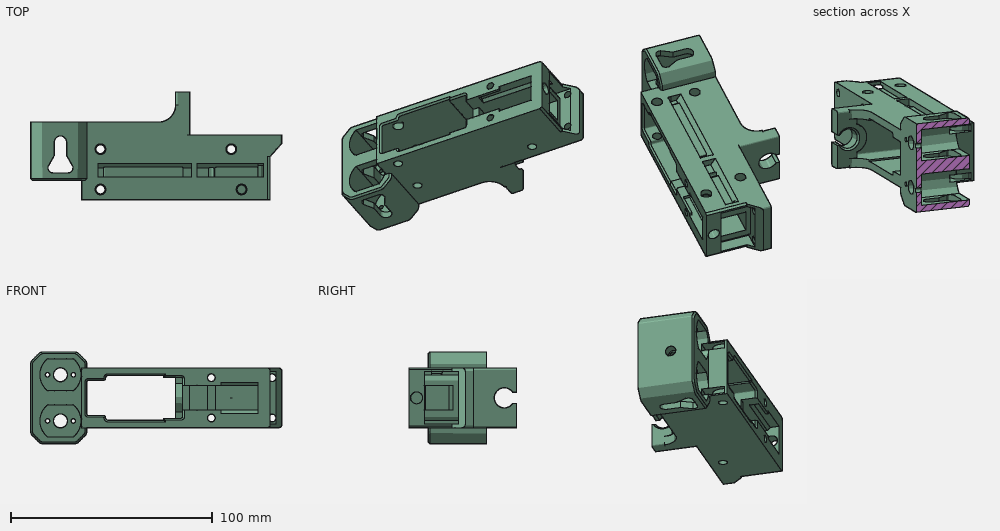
import cadquery as cq
import math


BODY_X0 = 25.3
BODY_X1 = 118.85
BODY_HEIGHT = 29.7
BODY_REAR_Y = 32.2
SHELF_REAR_Y = 38.6
END_CHAMFER_X = 1.2
END_CHAMFER_Z = 0.8
HALF_BODY = BODY_HEIGHT / 2

FLANGE_X1 = 124.75
FLANGE_TIP_Y = 28.0
FLANGE_ROOT_Y = 21.4
FLANGE_CORNER_RADIUS = 1.7

POST_X0 = 71.9
POST_X1 = 79.1
POST_TOP_Y = 53.5
POST_EDGE_RADIUS = 1.2
POST_ARC_RADIUS = 8.3
POST_ARC_X = POST_X0 - POST_ARC_RADIUS
POST_ARC_Y = SHELF_REAR_Y + POST_ARC_RADIUS
BARREL_Y = 47.4
BARREL_RADIUS = 4.95
BARREL_CHAMFER = 0.95
BARREL_GAP = 5.4
BOSS_Y = 45.15
BOSS_RADIUS = 7.45

CAVITY_X0 = 27.9
CAVITY_STEP_X = 37.3
CAVITY_LIP_X = 66.0
CAVITY_X1 = 75.5
CAVITY_NARROW_Z = 8.7
CAVITY_WIDE_Z = 11.0
CAVITY_LIP_Z = 10.15
CAVITY_CORNER_RADIUS = 0.9
CAVITY_STEP_RADIUS = 1.1
CAVITY_MOUTH_CHAMFER = 0.9
POST_RECESS_Y = 43.0

CHANNEL_X1 = 112.8
CHANNEL_HALF_Z = 6.15
CHANNEL_REAR_Y = 22.0
DIVIDER_X1 = 78.8
DIVIDER_Y = 8.2
RIB_X0 = 87.9
RIB_X1 = 91.65
RIB_DEPTH = 2.0
RECESS_X0 = 82.5
RECESS_MOUTH_X = 94.6
RECESS_HALF_Z = 7.65
RECESS_REAR_Y = 6.1
RECESS_LIP = 1.3

END_WALL_THICKNESS = 7.75
HOLLOW_HALF_Z = 13.1
HOLLOW_REAR_Y = 24.6
HOLLOW_SHOULDER_Z = 11.3
HOLLOW_SHOULDER_LENGTH = 2.75
HOLLOW_SHOULDER_RADIUS = 2.7
END_HOLE_RADIUS = 2.95

SLOT_X_RANGES = ((33.5, 79.8), (82.7, 115.5))
SLOT_Y0 = 11.3
SLOT_Y1 = 18.1
SLOT_DEPTH = 3.55
SLOT_LEAN = 2.4
SLOT_PAD_X_RANGES = ((36.1, 75.7), (91.6, CHANNEL_X1))
SLOT_PAD_DEPTH = 2.8
SLOT_PAD_RADIUS = 0.7

SCREW_HEAD_RADIUS = 2.65
SCREW_SHANK_RADIUS = 2.2
SCREW_THROUGH_POINTS = ((34.7, 5.1), (34.7, 25.1), (99.6, 25.1))
SCREW_BLIND_POINT = (104.7, 5.1)
SCREW_BLIND_HEAD_DEPTH = 3.0
SCREW_BLIND_DEPTH = 5.5
MOUTH_HOLE_RADIUS = 1.85
MOUTH_HOLE_X = 89.7
FLANGE_HOLE_X = 119.9
MOUTH_HOLE_Z = 10.0

WIRE_Y0 = 1.5
WIRE_Y1 = 13.2
WIRE_X0 = 24.0
WIRE_BEND_X = 33.0
WIRE_BEND_Y = 4.5
WIRE_BEND_RADIUS = 5.2
WIRE_WIDTH = 3.5
WIRE_Z = 12.35

BLOCK_WIDTH = 28.0
BLOCK_HEIGHT = 45.7
BLOCK_Y0 = 9.6
BLOCK_CORNER = 5.0
BLOCK_CORNER_RADIUS = 3.0
BLOCK_EDGE_CHAMFER = 0.9
POCKET_X = 14.85
POCKET_Z = 11.45
POCKET_RADIUS = 10.2
POCKET_HALF_HEIGHT = 7.9
POCKET_FLOOR = 3.0
PLUNGER_RADIUS = 3.4
SOLENOID_SCREW_RADIUS = 1.05
SOLENOID_SCREW_OFFSET = 6.4
KEYHOLE_SLOT_RADIUS = 3.0
KEYHOLE_SLOT_Y = 28.6
KEYHOLE_NECK_Y = 22.0
KEYHOLE_BASE_HALF = 6.1
KEYHOLE_BASE_Y = 13.4
KEYHOLE_SHOULDER_Y = 16.5
KEYHOLE_CORNER_RADIUS = 2.2
SIDE_HOLE_Y = 21.6
SIDE_HOLE_RADIUS = 2.6
SIDE_HOLE_TIP_RADIUS = 1.8
SIDE_HOLE_DEPTH = 5.0
SIDE_HOLE_TIP_DEPTH = 7.0


def box(x0, x1, y0, y1, half_z):
    """Box between the given X and Y limits, symmetric about Z = 0."""
    return cq.Workplane("XY").box(x1 - x0, y1 - y0, 2 * half_z).translate(((x0 + x1) / 2, (y0 + y1) / 2, 0))


def drill_z(x, y, radius, z0, z1):
    return cq.Workplane("XY", origin=(x, y, z0)).circle(radius).extrude(z1 - z0)


def drill_y(x, z, radius, y0, y1):
    return cq.Workplane("XZ", origin=(x, y0, z)).circle(radius).extrude(y0 - y1)


def drill_x(y, z, radius, x0, x1):
    return cq.Workplane("YZ", origin=(x0, y, z)).circle(radius).extrude(x1 - x0)


def mirrored(shape):
    """The shape together with its mirror image across Z = 0."""
    return shape.union(shape.mirror("XY"))


def make_body():
    main = box(BODY_X0, BODY_X1, 0, BODY_REAR_Y, HALF_BODY)
    main = main.faces(">X").edges("|Y").chamfer(END_CHAMFER_Z, END_CHAMFER_X)
    flange = (
        cq.Workplane("XY", origin=(0, 0, -HALF_BODY))
        .moveTo(BODY_X1 - END_CHAMFER_X, BODY_REAR_Y)
        .lineTo(FLANGE_X1, BODY_REAR_Y)
        .lineTo(FLANGE_X1, FLANGE_TIP_Y)
        .lineTo(BODY_X1, FLANGE_ROOT_Y)
        .lineTo(BODY_X1 - END_CHAMFER_X, FLANGE_ROOT_Y)
        .close()
        .extrude(BODY_HEIGHT)
        .faces(">X")
        .edges("|Y")
        .fillet(FLANGE_CORNER_RADIUS)
    )
    shelf = box(BODY_X0, POST_ARC_X, 0, SHELF_REAR_Y, HALF_BODY)
    return main.union(flange).union(shelf)


def make_post():
    """Upright plate that carries the barrel, with the arc that blends it into the shelf."""
    post = box(POST_X0, POST_X1, BODY_REAR_Y, POST_TOP_Y, HALF_BODY)
    post = post.edges("|Y").fillet(POST_EDGE_RADIUS)
    web = box(POST_ARC_X, POST_X1, BODY_REAR_Y, POST_ARC_Y, HALF_BODY)
    web = web.faces(">X").edges("|Y").fillet(POST_EDGE_RADIUS)
    arc = drill_z(POST_ARC_X, POST_ARC_Y, POST_ARC_RADIUS, -HALF_BODY, HALF_BODY)
    return post.union(web.cut(arc))


def cut_barrel_seat(part):
    bore = drill_x(BARREL_Y, 0, BARREL_RADIUS, POST_X0, POST_X1)
    countersink = cq.Workplane(
        cq.Solid.makeCone(
            BARREL_RADIUS + BARREL_CHAMFER,
            BARREL_RADIUS,
            BARREL_CHAMFER,
            pnt=cq.Vector(POST_X0, BARREL_Y, 0),
            dir=cq.Vector(1, 0, 0),
        )
    )
    gap = box(POST_X0, POST_X1, BARREL_Y, POST_TOP_Y, BARREL_GAP / 2)
    return part.cut(bore).cut(countersink).cut(gap)


def cavity_profile():
    """Stepped outline of the cavity, symmetric about Z = 0."""
    upper = (
        (CAVITY_X0, CAVITY_NARROW_Z),
        (CAVITY_STEP_X, CAVITY_NARROW_Z),
        (CAVITY_STEP_X, CAVITY_WIDE_Z),
        (CAVITY_LIP_X, CAVITY_WIDE_Z),
        (CAVITY_LIP_X, CAVITY_LIP_Z),
        (CAVITY_X1, CAVITY_LIP_Z),
    )
    lower = tuple((x, -z) for x, z in reversed(upper))
    return upper + lower


def round_edges_at(solid, x, radius):
    """Round the edges parallel to Y that lie at the given X."""
    reach = 0.1
    zone = cq.selectors.BoxSelector((x - reach, 0, -HALF_BODY), (x + reach, POST_TOP_Y, HALF_BODY))
    return solid.edges("|Y").edges(zone).fillet(radius)


def make_cavity():
    """Cavity with a chamfered mouth, leaving the boss that backs the barrel seat."""
    cavity = cq.Workplane("XZ").polyline(cavity_profile()).close().extrude(-POST_TOP_Y)
    cavity = round_edges_at(cavity, CAVITY_X0, CAVITY_CORNER_RADIUS)
    cavity = round_edges_at(cavity, CAVITY_X1, CAVITY_CORNER_RADIUS)
    cavity = round_edges_at(cavity, CAVITY_STEP_X, CAVITY_STEP_RADIUS)
    inner_rim = cavity.faces("<Y").wires().val()
    outer_rim = inner_rim.offset2D(CAVITY_MOUTH_CHAMFER, "intersection")[0]
    inner_rim = inner_rim.moved(cq.Location(cq.Vector(0, CAVITY_MOUTH_CHAMFER, 0)))
    mouth = cq.Workplane(cq.Solid.makeLoft([outer_rim, inner_rim], True))
    behind_post = box(POST_X0, CAVITY_X1, POST_RECESS_Y, POST_TOP_Y, HALF_BODY)
    boss = drill_x(BOSS_Y, 0, BOSS_RADIUS, POST_X0, CAVITY_X1)
    return cavity.cut(behind_post).cut(boss).union(mouth)


def make_channel():
    """Side window, its stepped rear and the sloped recesses in its upper and lower walls."""
    front = box(CAVITY_X1, CHANNEL_X1, 0, DIVIDER_Y, CHANNEL_HALF_Z)
    rear = box(DIVIDER_X1, CHANNEL_X1, DIVIDER_Y, CHANNEL_REAR_Y, CHANNEL_HALF_Z)
    rib = box(RIB_X0, RIB_X1, CHANNEL_REAR_Y - RIB_DEPTH, CHANNEL_REAR_Y, CHANNEL_HALF_Z)
    slope = RECESS_HALF_Z - CHANNEL_HALF_Z
    recess = (
        cq.Workplane("YZ", origin=(RECESS_X0, 0, 0))
        .moveTo(0, 0)
        .lineTo(RECESS_REAR_Y, 0)
        .lineTo(RECESS_REAR_Y, CHANNEL_HALF_Z)
        .lineTo(RECESS_REAR_Y - slope, RECESS_HALF_Z)
        .lineTo(0, RECESS_HALF_Z)
        .close()
        .extrude(CHANNEL_X1 - RECESS_X0)
    )
    lip = box(RECESS_X0, RECESS_MOUTH_X, 0, RECESS_LIP, RECESS_HALF_Z)
    return front.union(rear.cut(rib)).union(mirrored(recess.cut(lip)))


def make_end_hollow():
    hollow = box(CHANNEL_X1, FLANGE_X1, END_WALL_THICKNESS, HOLLOW_REAR_Y, HOLLOW_HALF_Z)
    shoulder_x = CHANNEL_X1 + HOLLOW_SHOULDER_LENGTH
    shoulder = box(CHANNEL_X1, shoulder_x, END_WALL_THICKNESS, HOLLOW_REAR_Y, HOLLOW_SHOULDER_Z)
    shoulder = shoulder.edges(">X and |Y").fillet(HOLLOW_SHOULDER_RADIUS)
    passage = box(CHANNEL_X1, shoulder_x, END_WALL_THICKNESS, CHANNEL_REAR_Y, CHANNEL_HALF_Z)
    hollow = hollow.cut(shoulder).union(passage)
    end_hole = drill_x(END_WALL_THICKNESS / 2, 0, END_HOLE_RADIUS, CHANNEL_X1, BODY_X1)
    return hollow.union(end_hole)


def make_top_slot(x0, x1):
    return (
        cq.Workplane("YZ", origin=(x0, 0, 0))
        .moveTo(SLOT_Y0, HALF_BODY)
        .lineTo(SLOT_Y1, HALF_BODY)
        .lineTo(SLOT_Y1 - SLOT_LEAN, HALF_BODY - SLOT_DEPTH)
        .lineTo(SLOT_Y0, HALF_BODY - SLOT_DEPTH)
        .close()
        .extrude(x1 - x0)
    )


def make_slot_pad(x0, x1):
    """Raised stretch of slot floor with rounded ends."""
    floor_z = HALF_BODY - SLOT_DEPTH
    pad = (
        cq.Workplane("XY", origin=(0, SLOT_Y0, floor_z))
        .box(x1 - x0, SLOT_Y1 - SLOT_Y0, SLOT_DEPTH - SLOT_PAD_DEPTH, centered=(True, False, False))
        .translate(((x0 + x1) / 2, 0, 0))
    )
    return pad.edges(">Z and |Y").fillet(SLOT_PAD_RADIUS)


def cut_screw_holes(part):
    for x, y in SCREW_THROUGH_POINTS:
        part = part.cut(drill_z(x, y, SCREW_HEAD_RADIUS, 0, HALF_BODY))
        part = part.cut(drill_z(x, y, SCREW_SHANK_RADIUS, -HALF_BODY, 0))
    blind_x, blind_y = SCREW_BLIND_POINT
    for radius, depth in (
        (SCREW_HEAD_RADIUS, SCREW_BLIND_HEAD_DEPTH),
        (SCREW_SHANK_RADIUS, SCREW_BLIND_DEPTH),
    ):
        part = part.cut(drill_z(blind_x, blind_y, radius, HALF_BODY - depth, HALF_BODY))
    for z in (-MOUTH_HOLE_Z, MOUTH_HOLE_Z):
        part = part.cut(drill_y(MOUTH_HOLE_X, z, MOUTH_HOLE_RADIUS, 0, BODY_REAR_Y))
        part = part.cut(drill_y(FLANGE_HOLE_X, z, MOUTH_HOLE_RADIUS, HOLLOW_REAR_Y, BODY_REAR_Y))
    return part


def make_wire_slots():
    """Pair of narrow slots that lead from the end face and bend around the screw pillars."""
    floor_x = WIRE_BEND_X - WIRE_BEND_RADIUS
    diagonal = WIRE_BEND_RADIUS * math.sqrt(0.5)
    slot = (
        cq.Workplane("XY", origin=(0, 0, WIRE_Z - WIRE_WIDTH / 2))
        .moveTo(WIRE_X0, WIRE_Y0)
        .lineTo(floor_x, WIRE_Y0)
        .lineTo(floor_x, WIRE_BEND_Y)
        .threePointArc(
            (WIRE_BEND_X - diagonal, WIRE_BEND_Y + diagonal),
            (WIRE_BEND_X, WIRE_BEND_Y + WIRE_BEND_RADIUS),
        )
        .lineTo(WIRE_BEND_X, WIRE_Y1)
        .lineTo(WIRE_X0, WIRE_Y1)
        .close()
        .extrude(WIRE_WIDTH)
    )
    return mirrored(slot)


def make_block():
    block = box(0, BLOCK_WIDTH, BLOCK_Y0, SHELF_REAR_Y, BLOCK_HEIGHT / 2)
    block = block.edges("|Y").chamfer(BLOCK_CORNER)
    block = block.edges("|Y").fillet(BLOCK_CORNER_RADIUS)
    return block.faces("<Y").chamfer(BLOCK_EDGE_CHAMFER)


def make_solenoid_pocket(z):
    """Flat-sided round pocket with its plunger hole and two screw holes."""
    floor_y = SHELF_REAR_Y - POCKET_FLOOR
    pocket = drill_y(POCKET_X, z, POCKET_RADIUS, BLOCK_Y0, floor_y)
    flats = box(0, BLOCK_WIDTH, BLOCK_Y0, floor_y, POCKET_HALF_HEIGHT).translate((0, 0, z))
    cutter = pocket.intersect(flats)
    cutter = cutter.union(drill_y(POCKET_X, z, PLUNGER_RADIUS, floor_y, SHELF_REAR_Y))
    for offset in (-SOLENOID_SCREW_OFFSET, SOLENOID_SCREW_OFFSET):
        cutter = cutter.union(drill_y(POCKET_X + offset, z, SOLENOID_SCREW_RADIUS, floor_y, SHELF_REAR_Y))
    return cutter


def make_keyhole():
    """Keyhole window through the full block height: round-ended slot above a flared base."""
    slot_left = POCKET_X - KEYHOLE_SLOT_RADIUS
    slot_right = POCKET_X + KEYHOLE_SLOT_RADIUS
    base_left = POCKET_X - KEYHOLE_BASE_HALF
    base_right = POCKET_X + KEYHOLE_BASE_HALF
    slot = (
        cq.Workplane("XY", origin=(0, 0, -BLOCK_HEIGHT / 2))
        .moveTo(slot_right, KEYHOLE_NECK_Y)
        .lineTo(slot_right, KEYHOLE_SLOT_Y)
        .threePointArc((POCKET_X, KEYHOLE_SLOT_Y + KEYHOLE_SLOT_RADIUS), (slot_left, KEYHOLE_SLOT_Y))
        .lineTo(slot_left, KEYHOLE_NECK_Y)
        .close()
        .extrude(BLOCK_HEIGHT)
    )
    base = (
        cq.Workplane("XY", origin=(0, 0, -BLOCK_HEIGHT / 2))
        .moveTo(slot_left, KEYHOLE_NECK_Y)
        .lineTo(base_left, KEYHOLE_SHOULDER_Y)
        .lineTo(base_left, KEYHOLE_BASE_Y)
        .lineTo(base_right, KEYHOLE_BASE_Y)
        .lineTo(base_right, KEYHOLE_SHOULDER_Y)
        .lineTo(slot_right, KEYHOLE_NECK_Y)
        .close()
        .extrude(BLOCK_HEIGHT)
        .edges("|Z and <Y")
        .fillet(KEYHOLE_CORNER_RADIUS)
    )
    return slot.union(base)


def make_side_hole():
    entry = drill_x(SIDE_HOLE_Y, 0, SIDE_HOLE_RADIUS, 0, SIDE_HOLE_DEPTH)
    return entry.union(drill_x(SIDE_HOLE_Y, 0, SIDE_HOLE_TIP_RADIUS, 0, SIDE_HOLE_TIP_DEPTH))


body = make_body().union(make_post())
body = cut_barrel_seat(body)
body = body.cut(make_cavity())
body = body.cut(make_channel()).cut(make_end_hollow())
for slot_start, slot_end in SLOT_X_RANGES:
    body = body.cut(make_top_slot(slot_start, slot_end))
for pad_start, pad_end in SLOT_PAD_X_RANGES:
    body = body.union(make_slot_pad(pad_start, pad_end))
body = cut_screw_holes(body)

block = make_block().cut(make_keyhole()).cut(make_side_hole())
for pocket_z in (-POCKET_Z, POCKET_Z):
    block = block.cut(make_solenoid_pocket(pocket_z))

cavity_clearance = box(CAVITY_X0, BLOCK_WIDTH, 0, SHELF_REAR_Y, CAVITY_NARROW_Z)
result = body.union(block.cut(cavity_clearance)).cut(make_wire_slots())